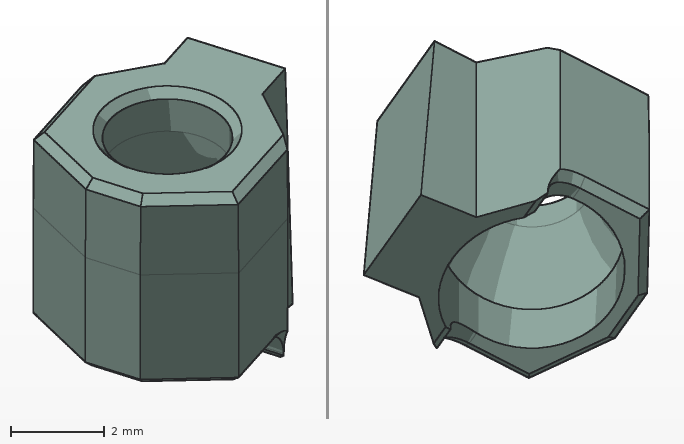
import cadquery as cq
import math

width = 5.0
half_width = width / 2
body_height = width
side_front_y = -half_width * math.tan(math.radians(30))
front_half_width = half_width * math.tan(math.radians(15))
side_back_y = 0.8
chamfer = 0.2

rib_half_width = 1.19
shoulder_y = side_back_y + half_width - rib_half_width
rib_top_y = 3.16
overall_depth = 6.0
rib_bottom_y = overall_depth - half_width
total_height = 6.5

skirt_front_y = 0.98
skirt_fillet = 0.8
skirt_slope = math.radians(10)

draft_height = 2.0
draft_inset = 0.023
drafted_face_angles = (-120, -90, -60, 0)

bore_radius = 1.4
bore_depth = 1.05
flare_radius = 5.0
counterbore_radius = 2.0


def skirt_bottom_z(y):
    """Height of the sloping underside at a given Y."""
    return -total_height + (rib_bottom_y - y) * math.tan(skirt_slope)


def make_side_block():
    """Side profile in the YZ plane, extruded across the full width."""
    arc_mid = skirt_fillet * math.sqrt(0.5)
    arc_center_y = skirt_front_y - skirt_fillet
    arc_center_z = -body_height - skirt_fillet
    return (
        cq.Workplane("YZ")
        .moveTo(-half_width, 0)
        .lineTo(-half_width, -body_height)
        .lineTo(arc_center_y, -body_height)
        .threePointArc((arc_center_y + arc_mid, arc_center_z + arc_mid), (skirt_front_y, arc_center_z))
        .lineTo(skirt_front_y, skirt_bottom_z(skirt_front_y))
        .lineTo(rib_bottom_y, -total_height)
        .lineTo(rib_top_y, 0)
        .close()
        .extrude(half_width, both=True)
    )


def cut_front_corners(block):
    """Trim both front corners at 30 degrees."""
    for side in (-1, 1):
        corner = (
            cq.Workplane("XY")
            .moveTo(side * half_width, side_front_y)
            .lineTo(side * front_half_width, -half_width)
            .lineTo(side * half_width, -half_width)
            .close()
            .extrude(-total_height)
        )
        block = block.cut(corner)
    return block


def cut_draft(block):
    """Lean the upper part of the drafted faces inward."""
    wedge = (
        cq.Workplane("XZ")
        .moveTo(half_width, -draft_height)
        .lineTo(half_width, 0)
        .lineTo(half_width - draft_inset, 0)
        .close()
        .extrude(2 * half_width, both=True)
    )
    for angle in drafted_face_angles:
        block = block.cut(wedge.rotate((0, 0, 0), (0, 0, 1), angle))
    return block


def chamfer_rims(block):
    """Bevel the front and side rims of the body, and the lower skirt edge."""
    margin = 0.065
    reach = half_width + margin
    top_rim = cq.selectors.BoxSelector((-reach, -reach, -margin), (reach, rib_top_y - margin, margin))
    bottom_rim = cq.selectors.BoxSelector(
        (-reach, -reach, -body_height - skirt_fillet),
        (reach, skirt_front_y, -body_height + margin),
    )
    skirt_edge = cq.selectors.NearestToPointSelector((0, skirt_front_y, skirt_bottom_z(skirt_front_y)))
    for selector in (top_rim, bottom_rim, skirt_edge):
        block = block.edges(selector).chamfer(chamfer)
    return block


def make_rear_outline():
    """Plan outline with the rear shoulders and the rib."""
    return (
        cq.Workplane("XY")
        .moveTo(-half_width, -half_width)
        .lineTo(half_width, -half_width)
        .lineTo(half_width, side_back_y)
        .lineTo(rib_half_width, shoulder_y)
        .lineTo(rib_half_width, rib_bottom_y)
        .lineTo(-rib_half_width, rib_bottom_y)
        .lineTo(-rib_half_width, shoulder_y)
        .lineTo(-half_width, side_back_y)
        .close()
        .extrude(-total_height)
    )


def make_bore():
    """Countersunk bore that flares into a wider counterbore below."""
    flare_angle = math.acos(1 - (counterbore_radius - bore_radius) / flare_radius)

    def flare_point(angle):
        radius = bore_radius + flare_radius * (1 - math.cos(angle))
        return radius, -bore_depth - flare_radius * math.sin(angle)

    return (
        cq.Workplane("XZ")
        .lineTo(bore_radius + chamfer, 0)
        .lineTo(bore_radius, -chamfer)
        .lineTo(bore_radius, -bore_depth)
        .threePointArc(flare_point(flare_angle / 2), flare_point(flare_angle))
        .lineTo(counterbore_radius, -total_height)
        .lineTo(0, -total_height)
        .close()
        .revolve(360, (0, 0), (0, 1))
    )


body = cut_front_corners(make_side_block())
body = chamfer_rims(cut_draft(body))
result = body.intersect(make_rear_outline()).cut(make_bore())